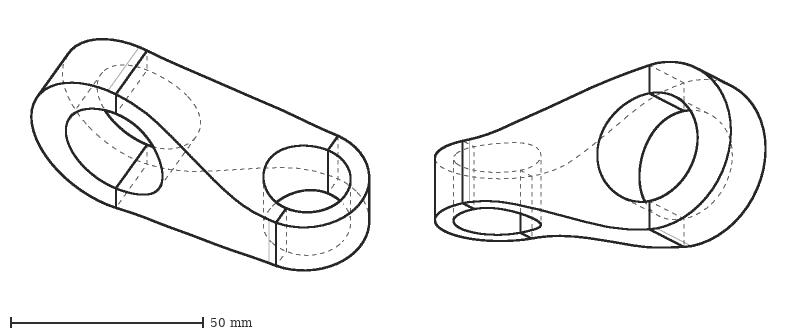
import cadquery as cq

LENGTH = 93.1
EYE_THICKNESS = 17.1

LARGE_RADIUS = 22.7
LARGE_BORE_RADIUS = 14.8
LARGE_REACH = 25.0
LARGE_SPLIT_HALF_HEIGHT = 22.5

SMALL_HALF_WIDTH = 17.0
SMALL_BORE_RADIUS = 11.35
SMALL_REACH = 16.1

BORE_SPACING = LENGTH - LARGE_REACH - SMALL_REACH
SIDE_FLAT_LENGTH = 2.05
HALF_EYE = EYE_THICKNESS / 2
HEIGHT_CURVE = [
    (0, LARGE_SPLIT_HALF_HEIGHT),
    (15.45, 19.0),
    (25.8, 15.1),
    (36.5, 11.3),
    (BORE_SPACING, HALF_EYE),
]
WIDTH_CURVE = [
    (0, HALF_EYE),
    (14.05, 10.2),
    (25.2, 13.0),
    (36.5, 15.8),
    (BORE_SPACING - SIDE_FLAT_LENGTH, SMALL_HALF_WIDTH),
]
HEIGHT_START_TANGENT = (1, -0.13)
LEVEL_TANGENT = (1, 0)


def bore(plane, x, radius):
    """Long cylinder centred on the link, normal to the given plane."""
    return cq.Workplane(plane).center(x, 0).circle(radius).extrude(LENGTH, both=True)


def profile_prism(plane, curve, start_tangent, half_depth):
    """Prism bounded by a curve and its mirror image, from joint to joint."""
    lower_curve = [(x, -value) for x, value in reversed(curve)]
    end_value = curve[-1][1]
    has_flat = curve[-1][0] < BORE_SPACING
    outline = (
        cq.Workplane(plane)
        .workplane(offset=-half_depth)
        .moveTo(*curve[0])
        .spline(curve[1:], tangents=[start_tangent, LEVEL_TANGENT], includeCurrent=True)
    )
    if has_flat:
        outline = outline.lineTo(BORE_SPACING, end_value)
    outline = outline.lineTo(BORE_SPACING, -end_value)
    if has_flat:
        outline = outline.lineTo(*lower_curve[0])
    return_tangents = [(-1, 0), (-start_tangent[0], start_tangent[1])]
    outline = outline.spline(lower_curve[1:], tangents=return_tangents, includeCurrent=True)
    return outline.close().extrude(2 * half_depth)


def make_large_eye():
    arc_centre_x = LARGE_RADIUS - LARGE_REACH
    return (
        cq.Workplane("XZ")
        .moveTo(0, LARGE_SPLIT_HALF_HEIGHT)
        .lineTo(arc_centre_x, LARGE_RADIUS)
        .threePointArc((-LARGE_REACH, 0), (arc_centre_x, -LARGE_RADIUS))
        .lineTo(0, -LARGE_SPLIT_HALF_HEIGHT)
        .close()
        .extrude(HALF_EYE, both=True)
        .cut(bore("XZ", 0, LARGE_BORE_RADIUS))
    )


def make_small_eye():
    return (
        cq.Workplane("XY")
        .moveTo(BORE_SPACING, SMALL_HALF_WIDTH)
        .threePointArc((BORE_SPACING + SMALL_REACH, 0), (BORE_SPACING, -SMALL_HALF_WIDTH))
        .close()
        .extrude(HALF_EYE, both=True)
        .cut(bore("XY", BORE_SPACING, SMALL_BORE_RADIUS))
    )


def make_shank():
    height_prism = profile_prism("XZ", HEIGHT_CURVE, HEIGHT_START_TANGENT, SMALL_HALF_WIDTH)
    width_prism = profile_prism("XY", WIDTH_CURVE, LEVEL_TANGENT, LARGE_RADIUS)
    return (
        height_prism.intersect(width_prism)
        .cut(bore("XZ", 0, LARGE_BORE_RADIUS))
        .cut(bore("XY", BORE_SPACING, SMALL_BORE_RADIUS))
    )


large_eye = make_large_eye()
small_eye = make_small_eye()
shank = make_shank()

result = cq.Compound.makeCompound([large_eye.val(), shank.val(), small_eye.val()])